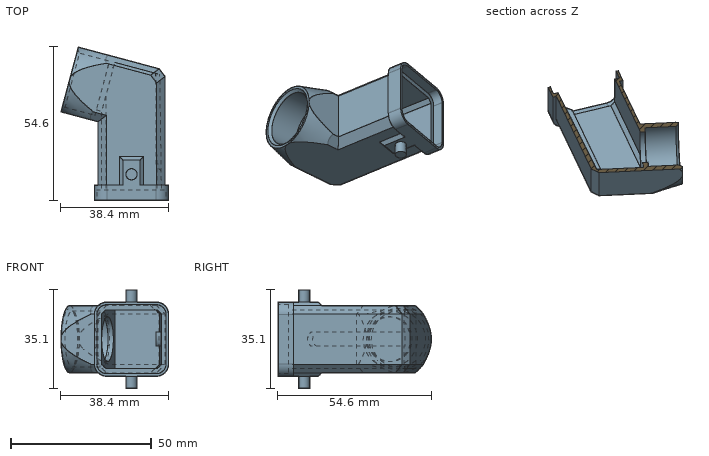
import cadquery as cq
import math

length = 54.6
width = 38.4
pin_span = 35.1

flange_size = 26.5
flange_length = 5.4
flange_radius = 4.5
lip_thickness = 0.95
lip_depth = 3.6

body_size = 23.9
bevel = 3.0
tilt = 15.0
heel_leg = 2.2

cone_half_angle = 15.0
mouth_bevel = 1.0
bore_diameter = 20.0
bore_depth = 12.0
throat_diameter = 16.0
throat_end = 14.0

cavity_half_x = 10.65
cavity_height = 20.9
cavity_bevel = 1.5
back_wall = 1.9
far_side_draft = 0.6

rib_width = 5.0
rib_inner_x = 8.75
rib_tip_y = 10.35
rib_bow = 1.25

pin_diameter = 4.0
pin_y = 9.3
pad_width = 8.55
pad_end_y = 15.55

bevel_angle = 45.0

body_half = body_size / 2
flange_half = flange_size / 2
pad_height = flange_half - body_half

cos_tilt = math.cos(math.radians(tilt))
sin_tilt = math.sin(math.radians(tilt))
tan_tilt = sin_tilt / cos_tilt

mouth_low = (flange_half - width, length - body_size * cos_tilt)
mouth_high = (mouth_low[0] + body_size * sin_tilt, length)
mouth_center = ((mouth_low[0] + mouth_high[0]) / 2, (mouth_low[1] + mouth_high[1]) / 2)


def back_y(x, inset=0.0):
    """Y of the sloping back at x, moved inward by inset along its normal."""
    return mouth_high[1] - (x - mouth_high[0]) * tan_tilt - inset / cos_tilt


def entry_plane(depth):
    """Workplane square to the cable entry, facing into the part, at a depth from the mouth."""
    x = mouth_center[0] + depth * cos_tilt
    y = mouth_center[1] - depth * sin_tilt
    return cq.Workplane(cq.Plane((x, y, 0), xDir=(0, 0, 1), normal=(cos_tilt, -sin_tilt, 0)))


heel = (body_half, back_y(body_half))


def prism(points, height):
    """Extrude an XY outline symmetrically about Z = 0."""
    return cq.Workplane("XY").polyline(points).close().extrude(height / 2, both=True)


def make_heel_cut():
    """Cutter for the flat across the heel, following the bevels at its top and bottom."""
    side_end = (heel[0], heel[1] - heel_leg)
    back_end = (heel[0] - heel_leg * cos_tilt, heel[1] + heel_leg * sin_tilt)
    past_side = (2 * side_end[0] - back_end[0], 2 * side_end[1] - back_end[1])
    past_back = (2 * back_end[0] - side_end[0], 2 * back_end[1] - side_end[1])
    outside = (heel[0] + heel_leg, heel[1] + heel_leg)
    inset = (-bevel, back_y(body_half - bevel, bevel) - heel[1])

    def triangle(z, shift):
        corners = [(x + shift[0], y + shift[1], z) for x, y in (past_side, outside, past_back)]
        return cq.Wire.makePolygon([cq.Vector(*corner) for corner in corners], close=True)

    straight = body_half - bevel
    sections = [
        triangle(-body_half, inset),
        triangle(-straight, (0, 0)),
        triangle(straight, (0, 0)),
        triangle(body_half, inset),
    ]
    return cq.Workplane(cq.Solid.makeLoft(sections, True))


def make_body():
    elbow_y = mouth_low[1] - (-body_half - mouth_low[0]) * tan_tilt
    outline = [
        (-body_half, 0),
        (body_half, 0),
        heel,
        mouth_high,
        mouth_low,
        (-body_half, elbow_y),
    ]
    block = prism(outline, body_size)
    return block.faces("|Z").edges("(not <Y) and (not <X)").chamfer(bevel)


def make_cone_trim():
    """Material outside the cone that rounds the square section towards the mouth."""
    corner_radius = math.hypot(body_half, body_half - bevel)
    cone_length = (corner_radius - body_half) / math.tan(math.radians(cone_half_angle))
    frame = entry_plane(0).rect(2 * body_size, 2 * body_size).extrude(cone_length)
    cone = entry_plane(0).circle(body_half).extrude(cone_length, taper=-cone_half_angle)
    return frame.cut(cone)


def rounded_square(size, radius, depth):
    """Square block with rounded corners, from Y = 0 to Y = depth."""
    block = cq.Workplane("XZ").rect(size, size).extrude(-depth)
    return block.edges("|Y").fillet(radius)


def make_pad_and_pin():
    """Pad with sloping sides and a pin, both on the +Z side."""
    pad = (
        cq.Workplane("XY", origin=(0, pad_end_y / 2, body_half))
        .rect(pad_width, pad_end_y)
        .extrude(pad_height, taper=bevel_angle)
    )
    pin = cq.Workplane("XY", origin=(0, pin_y, body_half)).circle(pin_diameter / 2)
    return pad.union(pin.extrude(pin_span / 2 - body_half))


def make_cavity():
    wall_x = mouth_center[0] + throat_end * cos_tilt
    wall_y = mouth_center[1] - throat_end * sin_tilt
    wall_start_y = wall_y - (cavity_half_x + wall_x) / tan_tilt
    half_back = body_half - back_wall
    wall_end = (wall_x + half_back * sin_tilt, wall_y + half_back * cos_tilt)
    far_x = cavity_half_x - far_side_draft
    outline = [
        (-cavity_half_x, lip_depth),
        (cavity_half_x, lip_depth),
        (far_x, back_y(far_x, back_wall)),
        wall_end,
        (-cavity_half_x, wall_start_y),
    ]
    cavity = prism(outline, cavity_height)
    for side in ("<X", ">X"):
        cavity = cavity.faces(side).edges("#Z").chamfer(cavity_bevel)
    return cavity.cut(make_rib())


def make_rib():
    """Rib along the +X wall, its bowed front end sloping back at 45 degrees from the wall."""
    half = rib_width / 2

    def section(x):
        tip_y = rib_tip_y + cavity_half_x - x
        side_y = tip_y + rib_bow
        return (
            cq.Workplane("YZ", origin=(x, 0, 0))
            .moveTo(length, -half)
            .lineTo(side_y, -half)
            .threePointArc((tip_y, 0), (side_y, half))
            .lineTo(length, half)
            .close()
            .wire()
            .val()
        )

    return cq.Workplane(cq.Solid.makeLoft([section(rib_inner_x), section(body_half)], True))


def make_entry_bore():
    mouth_diameter = bore_diameter + 2 * mouth_bevel
    countersink = entry_plane(0).circle(mouth_diameter / 2).extrude(mouth_bevel, taper=bevel_angle)
    bore = entry_plane(0).circle(bore_diameter / 2).extrude(bore_depth)
    throat = entry_plane(0).circle(throat_diameter / 2).extrude(throat_end)
    return bore.union(countersink).union(throat)


pad_and_pin = make_pad_and_pin()
recess = rounded_square(flange_size - 2 * lip_thickness, flange_radius - lip_thickness, lip_depth)

result = (
    make_body()
    .cut(make_heel_cut())
    .cut(make_cone_trim())
    .union(rounded_square(flange_size, flange_radius, flange_length))
    .union(pad_and_pin)
    .union(pad_and_pin.mirror("XY"))
    .cut(recess)
    .cut(make_cavity())
    .cut(make_entry_bore())
)